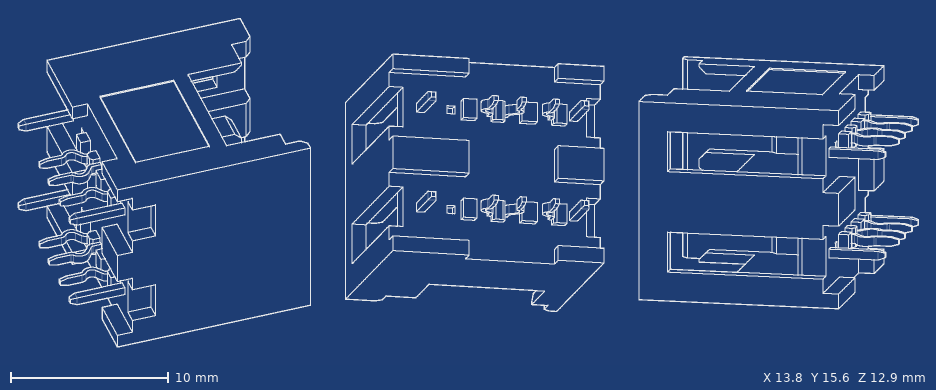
import cadquery as cq
import math

width = 13.8
length = 15.6
height = 12.9
row_pitch = 6.54
row_heights = [height / 2 - row_pitch / 2, height / 2 + row_pitch / 2]

lip_y = 2.6
face_y = 3.62
jaw_y = 14.23
notch_y = 10.62
notch_left, notch_right = 4.27, 11.84
prong_left, prong_right = 2.32, 12.9
prong_chamfer = 0.39

lip_gap_left, lip_gap_right = 4.99, 10.81
outer_lip_height = 0.97
middle_lip_height = 2.14

window_height = 2.59
window_end_y = 13.75
right_window_height = 2.53
side_wall = 0.9
window_web_y = 5.18

cavity_height = 5.12
cavity_floor_y = 5.5
entry_chamfer = 0.45
ledge_y = 9.7
ledge_width = 0.37
channel_height = 3.8

label_left, label_right = 4.52, 11.55
label_front, label_back = 4.62, 9.58
label_depth = 0.1

bosses = [
    (4.71, 5.58, False, False),
    (6.65, 7.47, True, True),
    (8.53, 9.53, False, False),
    (10.62, 11.48, True, False),
]
boss_height = 1.25
boss_length = 0.65
boss_chamfer = 0.19

hole_x = 4.04
hole_size = 0.51
hole_depth = 0.62

pin_positions = [2.05, 12.05]
pin_width = 0.53
pin_thickness = 0.56
pin_tip_width = 0.27
pin_tip_thickness = 0.31
pin_tip_length = 0.42

contacts = [(6.52, -1), (7.58, 1), (10.51, -1)]
contact_thickness = 0.27
contact_width = 0.6
contact_tip_width = 0.31
contact_tip_length = 0.5
bend_start_y = 3.05
bend_angle = math.radians(53)
bend_radius = 0.3
bend_run = 0.48
bulge_radius = 0.53

root_depth = 0.31


def box(x0, x1, y0, y1, z0, z1):
    """Axis-aligned block between the given limits."""
    return cq.Workplane("XY").box(x1 - x0, y1 - y0, z1 - z0, centered=False).translate((x0, y0, z0))


def row_prism(points, row_z, thickness):
    """Plan outline extruded symmetrically about a row."""
    return cq.Workplane("XY", origin=(0, 0, row_z)).polyline(points).close().extrude(thickness / 2, both=True)


def make_housing():
    """U-shaped housing with stepped, chamfered prongs and a recessed contact face."""
    outline = [
        (0, lip_y),
        (width, lip_y),
        (width, length),
        (prong_right + prong_chamfer, length),
        (prong_right, length - prong_chamfer),
        (prong_right, jaw_y),
        (notch_right, jaw_y),
        (notch_right, notch_y),
        (notch_left, notch_y),
        (notch_left, jaw_y),
        (prong_left, jaw_y),
        (prong_left, length - prong_chamfer),
        (prong_left - prong_chamfer, length),
        (0, length),
    ]
    housing = cq.Workplane("XY").polyline(outline).close().extrude(height)
    housing = housing.cut(box(lip_gap_left, lip_gap_right, lip_y, face_y, 0, height))
    recess_height = (height - middle_lip_height) / 2 - outer_lip_height
    for z0 in (outer_lip_height, (height + middle_lip_height) / 2):
        housing = housing.cut(box(0, width, lip_y, face_y, z0, z0 + recess_height))
    label = box(label_left, label_right, label_front, label_back, height - label_depth, height)
    return housing.cut(label)


def make_cavity(row_z):
    """Plug cavity with a ledge on its right wall and an entry flared in Z."""
    ledge_x = prong_right - ledge_width
    outline = [
        (prong_left, cavity_floor_y),
        (ledge_x, cavity_floor_y),
        (ledge_x, ledge_y - ledge_width),
        (prong_right, ledge_y),
        (prong_right, jaw_y),
        (prong_left, jaw_y),
    ]
    cavity = row_prism(outline, row_z, cavity_height)
    half = cavity_height / 2
    flare = [
        (jaw_y - entry_chamfer, row_z - half),
        (jaw_y, row_z - half - entry_chamfer),
        (jaw_y, row_z + half + entry_chamfer),
        (jaw_y - entry_chamfer, row_z + half),
    ]
    entry = cq.Workplane("YZ", origin=(prong_left, 0, 0)).polyline(flare).close()
    return cavity.union(entry.extrude(prong_right - prong_left))


def make_latch_channel(row_z):
    """Channel behind the left window, with a sloped corner at its floor."""
    slope = cavity_floor_y - window_web_y
    outline = [
        (side_wall, window_web_y),
        (side_wall + slope, cavity_floor_y),
        (prong_left, cavity_floor_y),
        (prong_left, length),
        (side_wall, length),
    ]
    return row_prism(outline, row_z, channel_height)


def make_windows(row_z):
    """Left latch window and the short window in the right wall, both open at the contact face."""
    half = window_height / 2
    right_half = right_window_height / 2
    left = box(0, side_wall, face_y, window_end_y, row_z - half, row_z + half)
    right = box(prong_right, width, face_y, window_web_y, row_z - right_half, row_z + right_half)
    return left.union(right)


def make_hole(row_z):
    """Blind square hole in the contact face."""
    half = hole_size / 2
    return box(hole_x - half, hole_x + half, face_y, face_y + hole_depth, row_z - half, row_z + half)


def make_boss(row_z, left, right, chamfer_left, chamfer_right):
    """Block on the contact face with optional chamfers at its tip."""
    root_y = face_y + root_depth
    tip_y = face_y - boss_length
    left_cut = boss_chamfer if chamfer_left else 0
    right_cut = boss_chamfer if chamfer_right else 0
    outline = [(left, root_y)]
    if chamfer_left:
        outline.append((left, tip_y + left_cut))
    outline.append((left + left_cut, tip_y))
    outline.append((right - right_cut, tip_y))
    if chamfer_right:
        outline.append((right, tip_y + right_cut))
    outline.append((right, root_y))
    return row_prism(outline, row_z, boss_height)


def make_tip(x, row_z, base, end, tip_length):
    """Tapered tip reaching Y = 0; base and end are (X size, Z size)."""
    tip = cq.Workplane("XZ", origin=(x, tip_length, row_z)).rect(*base)
    return tip.workplane(offset=tip_length).rect(*end).loft(combine=True)


def make_pin(x, row_z):
    """Straight pin with a pyramidal tip."""
    base = (pin_width, pin_thickness)
    end = (pin_tip_width, pin_tip_thickness)
    shank_length = face_y + root_depth - pin_tip_length
    shank = cq.Workplane("XZ", origin=(x, pin_tip_length, row_z)).rect(*base).extrude(-shank_length)
    return shank.union(make_tip(x, row_z, base, end, pin_tip_length))


def make_contact(x, side, row_z):
    """Flat contact that bends sideways, bulges round and runs straight to its tip."""
    sine, cosine = math.sin(bend_angle), math.cos(bend_angle)
    bend_dx = side * bend_radius * (1 - cosine)
    bend_dy = bend_radius * sine
    x1, y1 = x + bend_dx, bend_start_y - bend_dy
    x2, y2 = x1 + side * bend_run * sine, y1 - bend_run * cosine
    y3 = y2 - 2 * bulge_radius * sine
    tail_x, tail_y = x2 - bend_dx, y3 - bend_dy
    root_y = face_y + root_depth
    path = (
        cq.Workplane("XY", origin=(0, 0, row_z))
        .moveTo(x, root_y)
        .lineTo(x, bend_start_y)
        .tangentArcPoint((x1, y1), relative=False)
        .lineTo(x2, y2)
        .tangentArcPoint((x2, y3), relative=False)
        .tangentArcPoint((tail_x, tail_y), relative=False)
        .lineTo(tail_x, contact_tip_length)
    )
    base = (contact_thickness, contact_width)
    end = (contact_thickness, contact_tip_width)
    strip = cq.Workplane("XZ", origin=(x, root_y, row_z)).rect(*base).sweep(path)
    return strip.union(make_tip(tail_x, row_z, base, end, contact_tip_length))


result = make_housing()
for z in row_heights:
    for cutter in (make_cavity(z), make_latch_channel(z), make_windows(z), make_hole(z)):
        result = result.cut(cutter)
    for boss in bosses:
        result = result.union(make_boss(z, *boss))
    for pin_x in pin_positions:
        result = result.union(make_pin(pin_x, z))
    for contact_x, bulge_side in contacts:
        result = result.union(make_contact(contact_x, bulge_side, z))